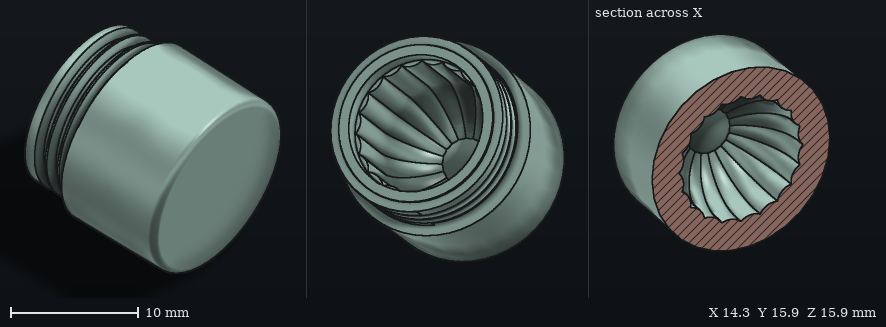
import cadquery as cq
import math

total_length = 14.28
head_diameter = 15.88
shoulder_x = 4.75
head_taper_angle = 0.75
head_edge_radius = 0.59

lip_radius = 6.37
lip_length = 0.24
thread_crest_radius = 7.11
thread_root_radius = 6.45
thread_pitch = 1.27
thread_turns = 3
groove_start_x = 0.84
groove_floor_width = 0.32
groove_flank_angle = 30.0
groove_overshoot = 0.16

entrance_radius = 5.55
entrance_depth = 1.59
rib_count = 20
rib_valley_radius = 5.48
rib_crest_radius = 5.15
dome_start_x = 7.94
button_radius = 1.9
button_sphere_radius = 6.35

half_rib_angle = math.pi / rib_count
half_rib_width = rib_valley_radius * math.sin(half_rib_angle)
rib_height = rib_valley_radius * math.cos(half_rib_angle) - rib_crest_radius
rib_radius = (half_rib_width**2 + rib_height**2) / (2 * rib_height)
rib_centre_radius = rib_crest_radius + rib_radius

button_rim_x = dome_start_x + math.sqrt(rib_crest_radius**2 - button_radius**2)
button_sphere_x = button_rim_x + math.sqrt(button_sphere_radius**2 - button_radius**2)


def make_head():
    """Slightly tapered cylinder with a rounded rear edge."""
    head_length = total_length - shoulder_x
    rear_radius = head_diameter / 2 - head_length * math.tan(math.radians(head_taper_angle))
    outline = (
        cq.Workplane("XY")
        .moveTo(shoulder_x, 0)
        .lineTo(shoulder_x, head_diameter / 2)
        .lineTo(total_length, rear_radius)
        .lineTo(total_length, 0)
        .close()
    )
    head = outline.revolve(360, (0, 0, 0), (1, 0, 0))
    return head.faces(">X").edges().fillet(head_edge_radius)


def make_thread_groove():
    """Helical trapezoid that starts and ends on the -Z side."""
    depth = thread_crest_radius + groove_overshoot - thread_root_radius
    half_floor = groove_floor_width / 2
    half_mouth = half_floor + depth * math.tan(math.radians(groove_flank_angle))
    helix = cq.Wire.makeHelix(thread_pitch, thread_pitch * thread_turns, thread_root_radius)
    profile = cq.Workplane("XZ").polyline(
        [
            (thread_root_radius, -half_floor),
            (thread_root_radius, half_floor),
            (thread_root_radius + depth, half_mouth),
            (thread_root_radius + depth, -half_mouth),
        ]
    ).close()
    groove = profile.sweep(cq.Workplane(helix), isFrenet=True)
    return groove.rotate((0, 0, 0), (0, 1, 0), 90).translate((groove_start_x, 0, 0))


def make_neck():
    lip = cq.Workplane("YZ").circle(lip_radius).extrude(shoulder_x)
    collar = (
        cq.Workplane("YZ", origin=(lip_length, 0, 0))
        .circle(thread_crest_radius)
        .extrude(shoulder_x - lip_length)
    )
    return lip.union(collar.cut(make_thread_groove()))


def make_rib():
    """Round bar that runs along the cavity wall, then bends inward around the dome centre."""
    plane = cq.Workplane("YZ", origin=(dome_start_x, 0, 0)).center(0, rib_centre_radius)
    straight = plane.circle(rib_radius).extrude(entrance_depth - dome_start_x)
    bend = plane.circle(rib_radius).revolve(90, (0, -rib_centre_radius, 0), (1, -rib_centre_radius, 0))
    return straight.union(bend)


def make_cavity():
    """Round-ended bore with the ribs and the raised centre left standing."""
    bore = (
        cq.Workplane("XY")
        .lineTo(0, entrance_radius)
        .lineTo(dome_start_x, entrance_radius)
        .radiusArc((dome_start_x + entrance_radius, 0), entrance_radius)
        .close()
        .revolve(360, (0, 0, 0), (1, 0, 0))
    )
    button_sphere = cq.Workplane("XY").sphere(button_sphere_radius).translate((button_sphere_x, 0, 0))
    cavity = bore.cut(button_sphere)
    rib = make_rib()
    for index in range(rib_count):
        rib_angle = (index + 0.5) * 360 / rib_count
        cavity = cavity.cut(rib.rotate((0, 0, 0), (1, 0, 0), rib_angle), clean=False)
    return cavity


result = make_neck().union(make_head()).cut(make_cavity())